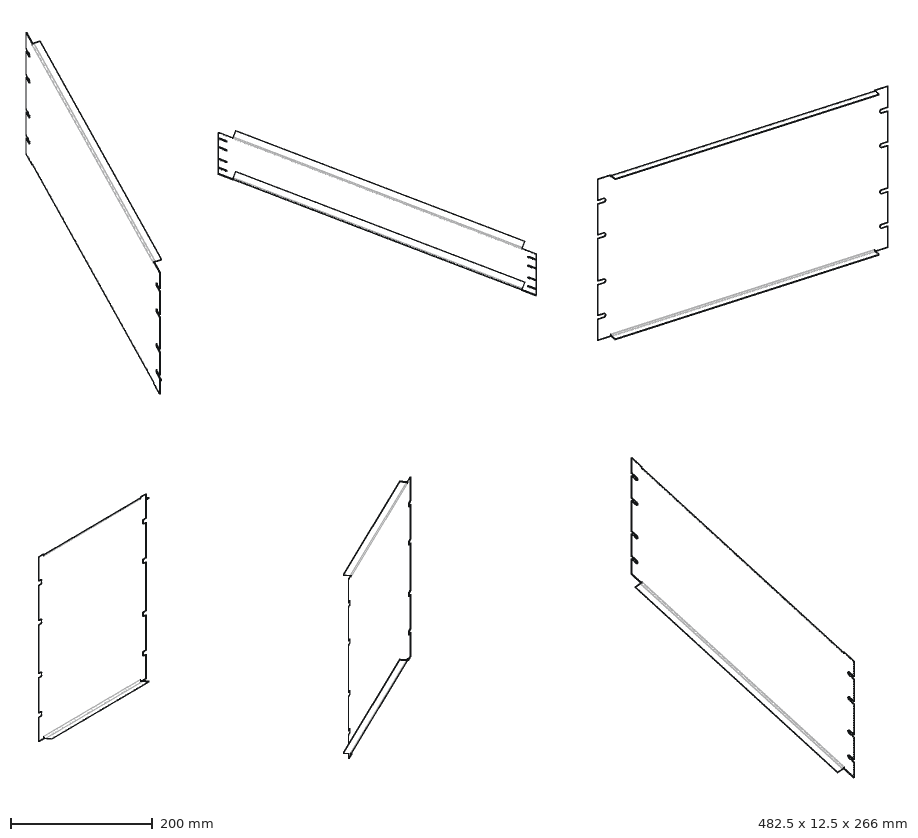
import cadquery as cq

panel_width = 482.5
panel_height = 266.0
thickness = 1.5

flange_depth = 12.5
flange_width = 439.0
bend_inner_radius = 1.5
bend_outer_radius = bend_inner_radius + thickness

slot_height = 6.5
slot_length = 13.0
slot_pair_pitch = 57.0
slot_inner_spacing = 76.3

front_y = -flange_depth / 2


def make_folded_centre():
    """C-shaped folded sheet with rounded bends, spanning the flange width."""
    inside_y = front_y + thickness
    inside_height = panel_height - 2 * thickness
    outside = (
        cq.Workplane("YZ")
        .rect(flange_depth, panel_height)
        .extrude(flange_width / 2, both=True)
        .edges("|X and <Y")
        .fillet(bend_outer_radius)
    )
    inside = (
        cq.Workplane("YZ")
        .center(inside_y + flange_depth / 2, 0)
        .rect(flange_depth, inside_height)
        .extrude(flange_width / 2, both=True)
        .edges("|X and <Y")
        .fillet(bend_inner_radius)
    )
    return outside.cut(inside)


def make_side_ear(side):
    """Flat full-height ear beside the folded centre; side is -1 or +1."""
    ear_width = (panel_width - flange_width) / 2
    ear_x = side * (flange_width + ear_width) / 2
    ear_y = front_y + thickness / 2
    return cq.Workplane("XY").box(ear_width, thickness, panel_height).translate((ear_x, ear_y, 0))


def make_slot(side, z):
    """Cutter for one round-ended slot, open at the side edge of the panel."""
    return (
        cq.Workplane("XZ")
        .center(side * panel_width / 2, z)
        .slot2D(2 * slot_length, slot_height)
        .extrude(flange_depth, both=True)
    )


inner_slot_z = slot_inner_spacing / 2
outer_slot_z = inner_slot_z + slot_pair_pitch

result = make_folded_centre()
for side in (-1, 1):
    result = result.union(make_side_ear(side))
for side in (-1, 1):
    for z in (-outer_slot_z, -inner_slot_z, inner_slot_z, outer_slot_z):
        result = result.cut(make_slot(side, z))